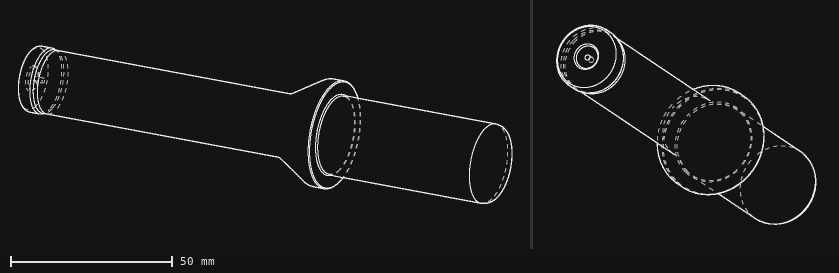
import cadquery as cq
import math

total_length = 162.6
stem_radius = 20.0 / 2

tip_length = 7.3
head_radius = 10.4
head_front = 1.5
head_back = 4.9
taper_end = 5.9

inner_face_radius = 7.5
inner_face_depth = 0.2
outer_face_radius = 8.5
outer_face_depth = 0.25
rim_radius = 9.8
rim_depth = 0.5
rim_round_radius = 1.1

recess_radius = 4.0
recess_floor_radius = 3.5
recess_depth = 0.7
countersink_radius = 2.5
pilot_radius = 0.8
countersink_drop = 0.3
countersink_depth = recess_depth + countersink_drop
pilot_depth = 4.0

flange_radius = 34.0 / 2
flare_start = 89.6
flare_angle = math.radians(30)
flare_end = flare_start + (flange_radius - stem_radius) / math.tan(flare_angle)
stem_blend_radius = 4.9
rim_blend_radius = 3.0
flange_back = 106.4
flange_back_chamfer = 0.3

shank_radius = 25.0 / 2
neck_radius = 24.5 / 2
neck_root_chamfer = 0.5
neck_end = 107.7
neck_taper_end = 108.5
end_taper_start = 160.2
end_taper_drop = 0.2
end_round_radius = 2.0


def revolve_about_x(profile):
    """Turn a closed X-radius profile around the X axis."""
    return profile.close().revolve(360, (0, 0, 0), (1, 0, 0))


def flare_round(profile, corner_x, corner_radius, blend_radius, into_flare):
    """Add a tangent arc at one end of the flare, where it meets a cylinder."""
    tangent_length = blend_radius * math.tan(flare_angle / 2)
    along_flare = (tangent_length * math.cos(flare_angle), tangent_length * math.sin(flare_angle))
    if into_flare:
        start = (corner_x - tangent_length, corner_radius)
        end = (corner_x + along_flare[0], corner_radius + along_flare[1])
        return profile.lineTo(*start).radiusArc(end, -blend_radius)
    start = (corner_x - along_flare[0], corner_radius - along_flare[1])
    end = (corner_x + tangent_length, corner_radius)
    return profile.lineTo(*start).radiusArc(end, blend_radius)


def make_tip():
    profile = (
        cq.Workplane("XY")
        .moveTo(pilot_depth, 0)
        .lineTo(pilot_depth, pilot_radius)
        .lineTo(countersink_depth, pilot_radius)
        .lineTo(recess_depth, countersink_radius)
        .lineTo(recess_depth, recess_floor_radius)
        .lineTo(0, recess_radius)
        .lineTo(inner_face_depth, inner_face_radius)
        .lineTo(outer_face_depth, outer_face_radius)
        .lineTo(rim_depth, rim_radius)
        .radiusArc((head_front, head_radius), rim_round_radius)
        .lineTo(head_back, head_radius)
        .lineTo(taper_end, stem_radius)
        .lineTo(tip_length, stem_radius)
        .lineTo(tip_length, 0)
    )
    return revolve_about_x(profile)


def make_holder():
    profile = (
        cq.Workplane("XY")
        .moveTo(tip_length, 0)
        .lineTo(tip_length, stem_radius)
    )
    profile = flare_round(profile, flare_start, stem_radius, stem_blend_radius, True)
    profile = flare_round(profile, flare_end, flange_radius, rim_blend_radius, False)
    end_round_start = total_length - end_round_radius
    end_round_top = shank_radius - end_taper_drop
    profile = (
        profile
        .lineTo(flange_back - flange_back_chamfer, flange_radius)
        .lineTo(flange_back, flange_radius - flange_back_chamfer)
        .lineTo(flange_back, neck_radius + neck_root_chamfer)
        .lineTo(flange_back + neck_root_chamfer, neck_radius)
        .lineTo(neck_end, neck_radius)
        .lineTo(neck_taper_end, shank_radius)
        .lineTo(end_taper_start, shank_radius)
        .lineTo(end_round_start, end_round_top)
        .radiusArc((total_length, end_round_top - end_round_radius), end_round_radius)
        .lineTo(total_length, 0)
    )
    return revolve_about_x(profile)


tip = make_tip()
holder = make_holder()
result = cq.Compound.makeCompound([tip.val(), holder.val()])